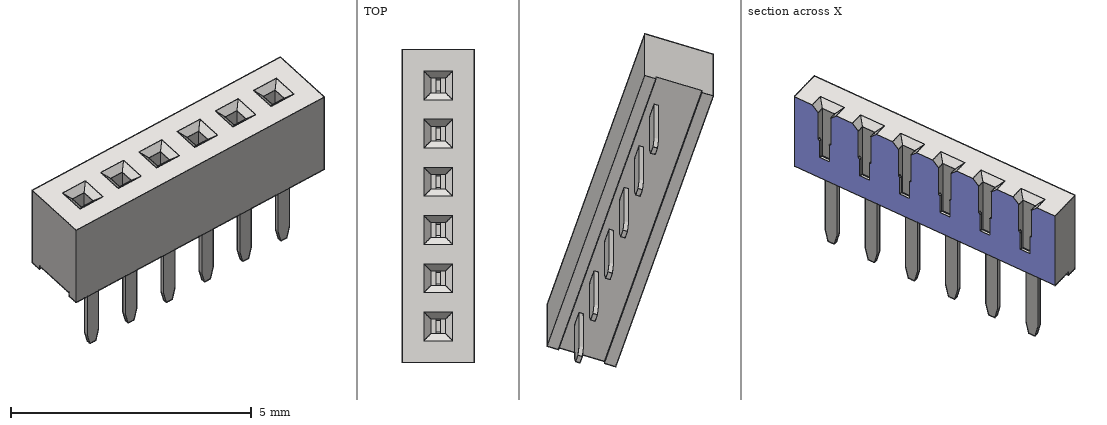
import cadquery as cq

length = 6.5
width = 1.5
housing_height = 2.1
channel_width = 1.0
channel_depth = 0.1

contact_count = 6
end_margin = 0.75
pitch = length / (contact_count - 1 + 2 * end_margin)

funnel_mouth = 0.6
shaft_size = 0.305
funnel_depth = (funnel_mouth - shaft_size) / 2
shaft_floor = 0.6

blade_thickness = 0.1
fork_gap = 0.235
fork_height = 0.6
fork_base = 0.1

tail_offset = 0.3
tail_width = 0.3
tail_length = 1.9
tip_width = 0.155
tip_length = 0.3


def make_housing():
    block = cq.Workplane("XY").box(width, length, housing_height, centered=(True, True, False))
    channel = cq.Workplane("XY").box(channel_width, length, channel_depth, centered=(True, True, False))
    return block.cut(channel)


def make_socket(y):
    """Volume removed for one socket: funnel plus shaft."""
    funnel = (
        cq.Workplane("XY", origin=(0, y, housing_height))
        .rect(funnel_mouth, funnel_mouth)
        .workplane(offset=-funnel_depth)
        .rect(shaft_size, shaft_size)
        .loft(ruled=True)
    )
    shaft_depth = housing_height - funnel_depth - shaft_floor
    shaft = cq.Workplane("XY", origin=(0, y, shaft_floor)).box(
        shaft_size, shaft_size, shaft_depth, centered=(True, True, False)
    )
    return funnel.union(shaft)


def make_fork(y):
    """Contact in the shaft: two prongs with 45 degree lead-in slopes."""
    half_shaft = shaft_size / 2
    half_gap = fork_gap / 2
    prong_top = fork_height - (half_shaft - half_gap)
    outline = [
        (-half_shaft, 0),
        (half_shaft, 0),
        (half_shaft, fork_height),
        (half_gap, prong_top),
        (half_gap, fork_base),
        (-half_gap, fork_base),
        (-half_gap, prong_top),
        (-half_shaft, fork_height),
    ]
    return (
        cq.Workplane("YZ", origin=(0, y, shaft_floor))
        .polyline(outline)
        .close()
        .extrude(blade_thickness / 2, both=True)
    )


def make_tail(y):
    half_width = tail_width / 2
    half_tip = tip_width / 2
    tip_start = tip_length - tail_length
    outline = [
        (-half_width, channel_depth),
        (half_width, channel_depth),
        (half_width, tip_start),
        (half_tip, -tail_length),
        (-half_tip, -tail_length),
        (-half_width, tip_start),
    ]
    return (
        cq.Workplane("YZ", origin=(tail_offset, y, 0))
        .polyline(outline)
        .close()
        .extrude(blade_thickness / 2, both=True)
    )


result = make_housing()
for index in range(contact_count):
    contact_y = (index - (contact_count - 1) / 2) * pitch
    result = result.cut(make_socket(contact_y))
    result = result.union(make_fork(contact_y))
    result = result.union(make_tail(contact_y))